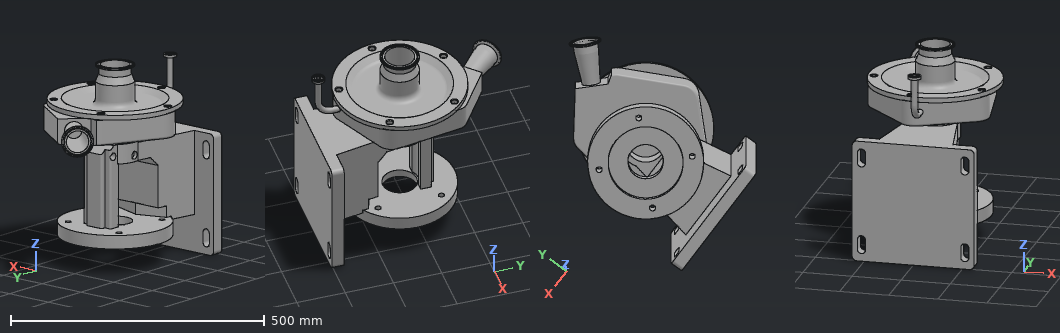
import cadquery as cq
import math

TOTAL_HEIGHT = 403.5
FLANGE_TOP = 334.5
FLANGE_BOTTOM = 324.5
CASING_BOTTOM = 272.0
COLLAR_TOP = 252.5
COLLAR_BOTTOM = 212.5
BASE_TOP = 83.5
BASE_BOTTOM = 55.5
FRAME_BOTTOM = 77.3
FRAME_TOP = 249.0

FLANGE_RADIUS = 135.0
FLAT_DISTANCE = 114.5
SIDES = 5
SIDE_ANGLE = 360 / SIDES
FIRST_CORNER = 45
CORNER_RADIUS = 34.0
TONGUE_TIP = (-59.5, 128.2)
TONGUE_START_Y = 114.5
BLOCK_CORNER_RADIUS = 24.5
CASING_EDGE = 4.5
BOLT_CIRCLE = 121.5
BOLT_RADIUS = 6.0
BOLT_CHAMFER = 1.5

DISH_RADIUS = 106.5
DISH_FLOOR_RADIUS = 90.0
DISH_DEPTH = 15.2
DISH_FLOOR = FLANGE_TOP - DISH_DEPTH
DISH_FILLET = 14.0
DISH_EDGE = 2.0

PIPE_RADIUS = 39.0
PIPE_FLARE = 15.0
NECK_RADIUS = 32.5
PIPE_BORE = 29.5
PIPE_BORE_FLOOR = 280.5
SHOULDER_BOTTOM = 369.5
SHOULDER_TOP = 385.0
FERRULE_RIM = 2.5
FERRULE_TAPER = 2.5
GROOVE_WIDTH = 2.5
GROOVE_DEPTH = 1.0
PIPE_GROOVE = 34.0

OUTLET_ANGLE = 135
OUTLET_OFFSET = 91.5
OUTLET_FACE = 115.0
OUTLET_END = 200.5
OUTLET_STRAIGHT = 20.0
OUTLET_HEIGHT = 300.0
OUTLET_STUB = 3.0
OUTLET_EMBED = 4.0
OUTLET_SMALL_RADIUS = 18.5
OUTLET_RADIUS = 24.5
OUTLET_FERRULE_RADIUS = 31.5
OUTLET_BORE = 22.0
OUTLET_GROOVE = 26.5
BLOCK_REACH = 123.7
BLOCK_TAPER = 10.3
BLOCK_EXTRA = 12.5

TUBE_RADIUS = 6.5
TUBE_BORE = 4.5
TUBE_AXIS_Z = 301.5
TUBE_REACH = 169.0
ELBOW_RADIUS = 28.0
TUBE_TOP = 390.5
TUBE_FERRULE_RADIUS = 13.0
TUBE_FERRULE_HEIGHT = 5.5
TUBE_GROOVE = 8.0

HUB_RADIUS = 42.7
HUB_FLARE = 8.5
COLLAR_RADIUS = 50.5
COLLAR_BORE = 38.5
PIN_RADIUS = 8.0
PIN_Z = 225.5
PIN_DEPTH = 8.2

PLATE_SIZE = FRAME_TOP
PLATE_THICKNESS = 25.5
PLATE_FACE = -180.0
PLATE_CORNER = 10.0
SLOT_WIDTH = 16.0
SLOT_LENGTH = 36.5
SLOT_X = 105.2
SLOT_Z = 90.0

FRAME_HALF_WIDTH = 46.5
FRAME_PLATE_HALF_WIDTH = 75.0
FRAME_FRONT = -63.3
FRAME_STEP = -96.5
WINDOW_CHAMFER = 19.5
NOTCH_DEPTH = 4.8
NOTCH_WIDTH = 14.3
NOTCH_HEIGHT = 23.0
COLUMN_HALF_WIDTH = 35.8
COLUMN_INNER = 32.0
COLUMN_BACK = 55.5
COLUMN_ROUND = 4.5
RIB_HALF_WIDTH = 20.5
RIB_BACK = 65.0
COLUMN_CHAMFER = 18.0
COLUMN_HOLE_Y = 47.5
COLUMN_HOLE_Z = 229.7
COLUMN_HOLE_RADIUS = 7.5

BASE_RADIUS = 114.5
BASE_BORE = 35.0
BASE_RECESS = 74.0
BASE_LIP = 17.0
BASE_HOLE_CIRCLE = 185.8
BASE_HOLE_COUNT = 4
BASE_HOLE_START = 45
BASE_HOLE_RADIUS = 5.8


def polar(radius, angle):
    turn = math.radians(angle)
    return (radius * math.cos(turn), radius * math.sin(turn))


def outlet_point(along, across):
    """XY point given along the discharge direction and outward across it."""
    a = polar(along, OUTLET_ANGLE)
    b = polar(across, OUTLET_ANGLE - 90)
    return (a[0] + b[0], a[1] + b[1])


def line_crossing(point, direction, normal_angle, distance):
    """Where a line meets the line at `distance` from the origin along `normal_angle`."""
    normal = polar(1, normal_angle)
    gap = distance - point[0] * normal[0] - point[1] * normal[1]
    step = gap / (direction[0] * normal[0] + direction[1] * normal[1])
    return (point[0] + step * direction[0], point[1] + step * direction[1])


def cylinder(radius, bottom, top):
    return cq.Workplane("XY").workplane(offset=bottom).circle(radius).extrude(top - bottom)


def revolved(points):
    """Solid of revolution about Z from (radius, height) points."""
    return cq.Workplane("XZ").polyline(points).close().revolve(360, (0, 0), (0, 1))


def make_casing():
    corner_distance = FLAT_DISTANCE / math.cos(math.radians(SIDE_ANGLE / 2))
    corners = [polar(corner_distance, FIRST_CORNER + SIDE_ANGLE * i) for i in range(1, SIDES)]
    block_tip = outlet_point(OUTLET_FACE, BLOCK_REACH)
    block_back = line_crossing(
        block_tip, polar(1, OUTLET_ANGLE + 180 + BLOCK_TAPER),
        FIRST_CORNER - SIDE_ANGLE / 2, FLAT_DISTANCE)
    block_root = line_crossing(
        block_tip, polar(1, OUTLET_ANGLE + 90),
        FIRST_CORNER + SIDE_ANGLE / 2, FLAT_DISTANCE)
    extended_tip = line_crossing(
        block_tip, polar(1, OUTLET_ANGLE + BLOCK_TAPER),
        OUTLET_ANGLE, OUTLET_FACE + BLOCK_EXTRA)
    tongue_normal = polar(1, FIRST_CORNER + SIDE_ANGLE * 1.5)
    tongue_start = (
        (FLAT_DISTANCE - TONGUE_START_Y * tongue_normal[1]) / tongue_normal[0], TONGUE_START_Y)
    body = (
        cq.Workplane("XY").workplane(offset=CASING_BOTTOM)
        .moveTo(*block_back).lineTo(*extended_tip).lineTo(*TONGUE_TIP)
        .radiusArc(tongue_start, -CORNER_RADIUS))
    for corner in corners[1:]:
        body = body.lineTo(*corner)
    body = body.close().extrude(FLANGE_BOTTOM - CASING_BOTTOM)

    def round_corner(solid, corner, radius):
        spot = cq.selectors.NearestToPointSelector(
            (corner[0], corner[1], (CASING_BOTTOM + FLANGE_BOTTOM) / 2))
        return solid.edges("|Z").edges(spot).fillet(radius)

    body = round_corner(body, block_back, BLOCK_CORNER_RADIUS)
    for corner in corners[1:]:
        body = round_corner(body, corner, CORNER_RADIUS)
    body = body.faces("<Z").edges().fillet(CASING_EDGE)
    trim = (
        cq.Workplane("XY").workplane(offset=CASING_BOTTOM)
        .polyline([block_tip, block_root, TONGUE_TIP, extended_tip])
        .close().extrude(FLANGE_BOTTOM - CASING_BOTTOM))
    return body.cut(trim)


def make_flange():
    return cylinder(FLANGE_RADIUS, FLANGE_BOTTOM, FLANGE_TOP)


def cut_bolt_holes(solid):
    for i in range(SIDES):
        x, y = polar(BOLT_CIRCLE, FIRST_CORNER + SIDE_ANGLE * i)
        hole = revolved([
            (0, FLANGE_BOTTOM), (BOLT_RADIUS, FLANGE_BOTTOM),
            (BOLT_RADIUS, FLANGE_TOP - BOLT_CHAMFER),
            (BOLT_RADIUS + BOLT_CHAMFER, FLANGE_TOP), (0, FLANGE_TOP)])
        solid = solid.cut(hole.translate((x, y, 0)))
    return solid


def make_dish():
    """Volume removed from the cover, with a rounded floor edge."""
    dish = revolved([
        (0, DISH_FLOOR), (DISH_FLOOR_RADIUS, DISH_FLOOR),
        (DISH_RADIUS - DISH_EDGE, FLANGE_TOP - DISH_EDGE),
        (DISH_RADIUS, FLANGE_TOP), (0, FLANGE_TOP)])
    return dish.faces("<Z").edges().fillet(DISH_FILLET)


def make_suction_pipe():
    rim_bottom = TOTAL_HEIGHT - FERRULE_RIM
    return (
        cq.Workplane("XZ")
        .moveTo(0, DISH_FLOOR)
        .lineTo(PIPE_RADIUS + PIPE_FLARE, DISH_FLOOR)
        .radiusArc((PIPE_RADIUS, DISH_FLOOR + PIPE_FLARE), PIPE_FLARE)
        .lineTo(PIPE_RADIUS, SHOULDER_BOTTOM)
        .lineTo(NECK_RADIUS, SHOULDER_TOP)
        .lineTo(NECK_RADIUS, rim_bottom - FERRULE_TAPER)
        .lineTo(PIPE_RADIUS, rim_bottom)
        .lineTo(PIPE_RADIUS, TOTAL_HEIGHT)
        .lineTo(0, TOTAL_HEIGHT)
        .close()
        .revolve(360, (0, 0), (0, 1)))


def make_gasket_groove(radius, face):
    """Ring removed from a ferrule face at height `face`; `radius` is its inner side."""
    bottom = face - GROOVE_DEPTH
    return cylinder(radius + GROOVE_WIDTH, bottom, face).cut(cylinder(radius, bottom, face))


def place_outlet(solid):
    """Turn a Z-axis solid into the discharge direction."""
    x, y = outlet_point(0, OUTLET_OFFSET)
    return (
        solid.rotate((0, 0, 0), (0, 1, 0), 90)
        .rotate((0, 0, 0), (0, 0, 1), OUTLET_ANGLE)
        .translate((x, y, OUTLET_HEIGHT)))


def make_outlet():
    rim_start = OUTLET_END - FERRULE_RIM
    return place_outlet(revolved([
        (0, OUTLET_FACE - OUTLET_EMBED), (OUTLET_SMALL_RADIUS, OUTLET_FACE - OUTLET_EMBED),
        (OUTLET_SMALL_RADIUS, OUTLET_FACE + OUTLET_STUB),
        (OUTLET_RADIUS, OUTLET_END - OUTLET_STRAIGHT),
        (OUTLET_RADIUS, rim_start - FERRULE_TAPER),
        (OUTLET_FERRULE_RADIUS, rim_start),
        (OUTLET_FERRULE_RADIUS, OUTLET_END), (0, OUTLET_END)]))


def make_outlet_bore():
    wall = OUTLET_RADIUS - OUTLET_BORE
    return place_outlet(revolved([
        (0, OUTLET_FACE), (OUTLET_SMALL_RADIUS - wall, OUTLET_FACE),
        (OUTLET_BORE, OUTLET_END - OUTLET_STRAIGHT),
        (OUTLET_BORE, OUTLET_END), (0, OUTLET_END)]))


def make_tube(radius):
    """Round bar that runs out along -Y, bends upward and ends at the tube top."""
    start_y = -FLAT_DISTANCE
    path = (
        cq.Workplane("YZ").moveTo(start_y, TUBE_AXIS_Z)
        .lineTo(ELBOW_RADIUS - TUBE_REACH, TUBE_AXIS_Z)
        .radiusArc((-TUBE_REACH, TUBE_AXIS_Z + ELBOW_RADIUS), ELBOW_RADIUS)
        .lineTo(-TUBE_REACH, TUBE_TOP))
    return (
        cq.Workplane("XZ", origin=(0, start_y, TUBE_AXIS_Z))
        .circle(radius).sweep(path))


def make_tube_ferrule():
    ferrule = cylinder(TUBE_FERRULE_RADIUS, TUBE_TOP - TUBE_FERRULE_HEIGHT, TUBE_TOP)
    return ferrule.translate((0, -TUBE_REACH, 0))


def make_hub():
    return (
        cq.Workplane("XZ")
        .moveTo(0, COLLAR_TOP)
        .lineTo(HUB_RADIUS, COLLAR_TOP)
        .lineTo(HUB_RADIUS, CASING_BOTTOM - HUB_FLARE)
        .radiusArc((HUB_RADIUS + HUB_FLARE, CASING_BOTTOM), HUB_FLARE)
        .lineTo(0, CASING_BOTTOM)
        .close()
        .revolve(360, (0, 0), (0, 1)))


def make_plate():
    plate = (
        cq.Workplane("XZ", origin=(0, PLATE_FACE, PLATE_SIZE / 2))
        .rect(PLATE_SIZE, PLATE_SIZE).extrude(-PLATE_THICKNESS)
        .edges("|Y").fillet(PLATE_CORNER))
    slots = [(x, z) for x in (-SLOT_X, SLOT_X) for z in (-SLOT_Z, SLOT_Z)]
    return (
        plate.faces("<Y").workplane(origin=(0, PLATE_FACE, PLATE_SIZE / 2))
        .pushPoints(slots).slot2D(SLOT_LENGTH, SLOT_WIDTH, 90).cutThruAll())


def make_bracket():
    """Tapered block from the plate to the collar, opened below the collar."""
    root = PLATE_FACE + PLATE_THICKNESS
    block = (
        cq.Workplane("XY").workplane(offset=FRAME_BOTTOM)
        .polyline([
            (-FRAME_PLATE_HALF_WIDTH, root), (FRAME_PLATE_HALF_WIDTH, root),
            (FRAME_HALF_WIDTH, 0), (-FRAME_HALF_WIDTH, 0)])
        .close().extrude(FRAME_TOP - FRAME_BOTTOM))
    side = (
        cq.Workplane("YZ")
        .polyline([
            (root, FRAME_BOTTOM), (FRAME_STEP, FRAME_BOTTOM), (FRAME_STEP, BASE_TOP),
            (FRAME_FRONT, BASE_TOP), (FRAME_FRONT, COLLAR_BOTTOM - WINDOW_CHAMFER),
            (FRAME_FRONT + WINDOW_CHAMFER, COLLAR_BOTTOM), (0, COLLAR_BOTTOM),
            (0, FRAME_TOP), (root, FRAME_TOP)])
        .close().extrude(FRAME_PLATE_HALF_WIDTH, both=True))
    return block.intersect(side)


def make_notches():
    """Wedges removed at the foot of the bracket, beside the base ring holes."""
    half = FRAME_PLATE_HALF_WIDTH
    slope = NOTCH_DEPTH / NOTCH_WIDTH
    outer = FRAME_FRONT - slope * half
    return (
        cq.Workplane("XY").workplane(offset=BASE_TOP)
        .polyline([(0, FRAME_FRONT), (half, outer), (half, FRAME_FRONT)]).close()
        .polyline([(0, FRAME_FRONT), (-half, outer), (-half, FRAME_FRONT)]).close()
        .extrude(NOTCH_HEIGHT))


def make_column():
    """Upright behind the axis with a narrower rib on its back and a sloped top."""
    block = (
        cq.Workplane("XY").workplane(offset=BASE_TOP)
        .rect(2 * COLUMN_HALF_WIDTH, 2 * COLUMN_BACK).extrude(COLLAR_TOP - BASE_TOP)
        .edges("|Z and >Y").fillet(COLUMN_ROUND))
    rib = (
        cq.Workplane("XY").workplane(offset=BASE_TOP)
        .rect(2 * RIB_HALF_WIDTH, 2 * RIB_BACK).extrude(COLLAR_TOP - BASE_TOP)
        .edges("|Z and >Y").fillet(COLUMN_ROUND))
    side = (
        cq.Workplane("YZ")
        .polyline([
            (COLUMN_INNER, BASE_TOP), (RIB_BACK, BASE_TOP),
            (RIB_BACK, COLLAR_TOP - COLUMN_CHAMFER),
            (RIB_BACK - COLUMN_CHAMFER, COLLAR_TOP), (COLUMN_INNER, COLLAR_TOP)])
        .close().extrude(COLUMN_HALF_WIDTH, both=True))
    return block.union(rib).intersect(side)


def make_base():
    return (
        cylinder(BASE_RADIUS, BASE_BOTTOM, BASE_TOP)
        .cut(cylinder(BASE_BORE, BASE_BOTTOM, BASE_TOP))
        .cut(cylinder(BASE_RECESS, BASE_BOTTOM, BASE_TOP - BASE_LIP))
        .faces(">Z").workplane()
        .polarArray(BASE_HOLE_CIRCLE / 2, BASE_HOLE_START, 360, BASE_HOLE_COUNT)
        .circle(BASE_HOLE_RADIUS).cutThruAll())


def make_frame():
    frame = make_bracket().union(cylinder(COLLAR_RADIUS, COLLAR_BOTTOM, COLLAR_TOP))
    frame = frame.cut(make_notches()).union(make_column())
    frame = frame.cut(cylinder(COLLAR_BORE, BASE_TOP, COLLAR_TOP))
    pin_hole = (
        cq.Workplane("YZ", origin=(-COLLAR_RADIUS, 0, PIN_Z)).circle(PIN_RADIUS).extrude(PIN_DEPTH))
    cross_hole = (
        cq.Workplane("YZ").center(COLUMN_HOLE_Y, COLUMN_HOLE_Z)
        .circle(COLUMN_HOLE_RADIUS).extrude(COLLAR_RADIUS, both=True))
    return frame.cut(pin_hole).cut(cross_hole).union(make_base()).union(make_plate())


pump = cut_bolt_holes(make_casing().union(make_flange()))

pump = pump.cut(make_dish()).union(make_suction_pipe())
pump = pump.cut(cylinder(PIPE_BORE, PIPE_BORE_FLOOR, TOTAL_HEIGHT))
pump = pump.cut(make_gasket_groove(PIPE_GROOVE, TOTAL_HEIGHT))

pump = pump.union(make_outlet()).cut(make_outlet_bore())
pump = pump.cut(place_outlet(make_gasket_groove(OUTLET_GROOVE, OUTLET_END)))

pump = pump.union(make_tube(TUBE_RADIUS)).union(make_tube_ferrule())
pump = pump.cut(make_tube(TUBE_BORE))
pump = pump.cut(make_gasket_groove(TUBE_GROOVE, TUBE_TOP).translate((0, -TUBE_REACH, 0)))

result = pump.union(make_hub()).union(make_frame())